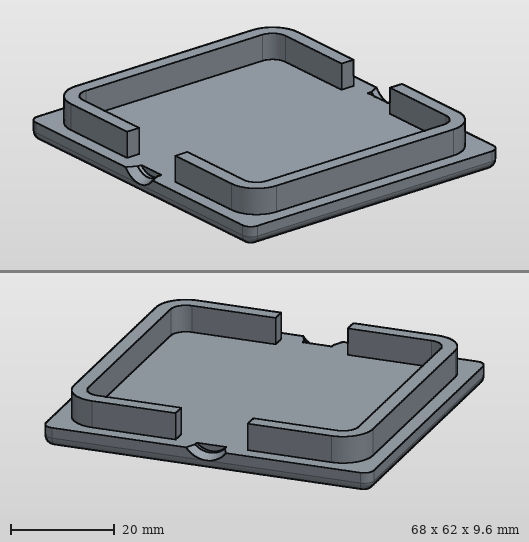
import cadquery as cq

length = 68.0
width = 62.0
total_height = 9.6
plate_thickness = 4.1
plate_corner_radius = 2.05
bottom_fillet = 2.0

rim_inset = 3.0
rim_thickness = 3.0
rim_height = total_height - plate_thickness
rim_corner_radius = 6.2
rim_gap = 14.95

notch_length = rim_inset
flare_length = 2.1
notch_axis_height = 3.0
notch_depth = 1.3
flare_depth = plate_thickness - bottom_fillet
notch_radius = notch_axis_height + notch_depth
flare_radius = notch_axis_height + flare_depth


def rounded_block(size_x, size_y, height, radius, base_z=0.0):
    block = cq.Workplane("XY").workplane(offset=base_z).rect(size_x, size_y).extrude(height)
    return block.edges("|Z").fillet(radius)


def make_plate():
    plate = rounded_block(length, width, plate_thickness, plate_corner_radius)
    return plate.faces("<Z").edges().fillet(bottom_fillet)


def make_rim():
    outer_x = length - 2 * rim_inset
    outer_y = width - 2 * rim_inset
    outer = rounded_block(outer_x, outer_y, rim_height, rim_corner_radius, plate_thickness)
    inner = rounded_block(
        outer_x - 2 * rim_thickness,
        outer_y - 2 * rim_thickness,
        rim_height,
        rim_corner_radius - rim_thickness,
        plate_thickness,
    )
    gap = cq.Workplane("XY").workplane(offset=plate_thickness).rect(rim_gap, width).extrude(rim_height)
    return outer.cut(inner).cut(gap)


def make_front_notch():
    """Revolve the stepped groove profile about a Y-parallel axis above the front edge."""
    axis_z = plate_thickness + notch_axis_height
    edge_y = -width / 2
    profile = (
        cq.Workplane("YZ")
        .moveTo(edge_y, axis_z)
        .lineTo(edge_y, axis_z - flare_radius)
        .lineTo(edge_y + flare_length, axis_z - notch_radius)
        .lineTo(edge_y + notch_length, axis_z - notch_radius)
        .lineTo(edge_y + notch_length, axis_z)
        .close()
    )
    return profile.revolve(360, (edge_y, axis_z, 0), (edge_y + notch_length, axis_z, 0))


front_notch = make_front_notch()
back_notch = front_notch.mirror("XZ")
result = make_plate().cut(front_notch).cut(back_notch).union(make_rim())